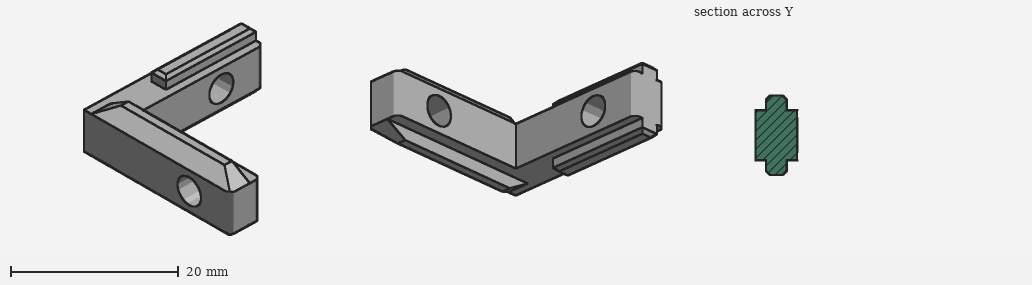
import cadquery as cq
import math

leg_length = 25.0
leg_thickness = 5.0
body_height = 6.0
end_radius = 0.8

hole_diameter = 4.0
hole_distance = 18.0

raised_height = 1.75
raised_start = 1.25

wedge_width = 3.25
wedge_end_angle = 30.0
wedge_side_run = 2.0

rib_width = 2.5
rib_length = 15.0
rib_chamfer = 0.5

half_height = body_height / 2
total_height = body_height + 2 * raised_height


def make_l_prism(height):
    """L-shaped prism of the given height with the free leg ends rounded."""
    outline = [
        (0, 0),
        (leg_length, 0),
        (leg_length, leg_thickness),
        (leg_thickness, leg_thickness),
        (leg_thickness, leg_length),
        (0, leg_length),
    ]
    prism = cq.Workplane("XY").polyline(outline).close().extrude(height / 2, both=True)
    x_leg_end = prism.faces(">X").edges("|Z")
    y_leg_end = prism.faces(">Y").edges("|Z")
    return prism.newObject(x_leg_end.vals() + y_leg_end.vals()).fillet(end_radius)


def make_wedge():
    """Wedge on the upper face: upright inner side, sloped outer side and ends."""
    end_run = raised_height / math.tan(math.radians(wedge_end_angle))
    side_outline = [
        (raised_start, half_height),
        (leg_length, half_height),
        (leg_length - end_run, half_height + raised_height),
        (raised_start + end_run, half_height + raised_height),
    ]
    cross_section = [
        (0, half_height),
        (wedge_width, half_height),
        (wedge_width, half_height + raised_height),
        (wedge_side_run, half_height + raised_height),
    ]
    side_profile = cq.Workplane("XZ").polyline(side_outline).close().extrude(-wedge_width)
    cross_profile = cq.Workplane("YZ").polyline(cross_section).close().extrude(leg_length)
    return side_profile.intersect(cross_profile).intersect(make_l_prism(total_height))


def make_rib():
    """Rectangular rib on the upper face, chamfered around its top."""
    return (
        cq.Workplane("XY")
        .box(rib_width, rib_length, raised_height, centered=False)
        .faces(">Z")
        .chamfer(rib_chamfer)
        .translate((raised_start, leg_length - rib_length, half_height))
    )


def make_hole(plane):
    """Cylinder long enough to cross a leg, for a plane whose local X runs along the leg."""
    return (
        cq.Workplane(plane)
        .center(hole_distance, 0)
        .circle(hole_diameter / 2)
        .extrude(leg_thickness, both=True)
    )


result = make_l_prism(body_height)
for raised in (make_wedge(), make_rib()):
    result = result.union(raised).union(raised.mirror("XY"))
for hole_plane in ("XZ", "YZ"):
    result = result.cut(make_hole(hole_plane))